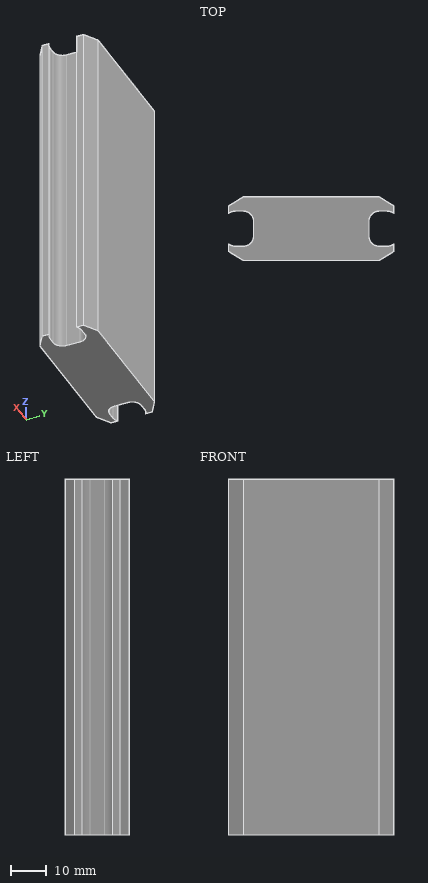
import cadquery as cq

width = 46.5
thickness = 18.0
length = 100.0

bevel_run = 4.2
bevel_drop = 2.6

groove_depth = 7.0
groove_width = 9.8
groove_corner_radius = 2.8

mouth_width = 8.6
lip_run = 2.0

half_width = width / 2
half_thickness = thickness / 2


def beveled_bar():
    """Octagonal bar, centred on the Z axis."""
    flat_end = half_width - bevel_run
    side_end = half_thickness - bevel_drop
    outline = [
        (-flat_end, -half_thickness),
        (flat_end, -half_thickness),
        (half_width, -side_end),
        (half_width, side_end),
        (flat_end, half_thickness),
        (-flat_end, half_thickness),
        (-half_width, side_end),
        (-half_width, -side_end),
    ]
    return cq.Workplane("XY").polyline(outline).close().extrude(length)


def side_groove():
    """Full-length groove cutter for the -X face, with rounded corners and lips."""
    mouth_x = -half_width
    lip_x = mouth_x + lip_run
    floor_x = mouth_x + groove_depth
    wall_y = groove_width / 2
    mouth_y = mouth_width / 2
    corner_x = floor_x - groove_corner_radius
    corner_y = wall_y - groove_corner_radius
    return (
        cq.Workplane("XY")
        .moveTo(floor_x, 0)
        .lineTo(floor_x, corner_y)
        .tangentArcPoint((corner_x, wall_y), relative=False)
        .lineTo(lip_x, wall_y)
        .tangentArcPoint((mouth_x, mouth_y), relative=False)
        .lineTo(mouth_x, 0)
        .mirrorX()
        .extrude(length)
    )


groove = side_groove()
result = beveled_bar().cut(groove).cut(groove.mirror("YZ"))